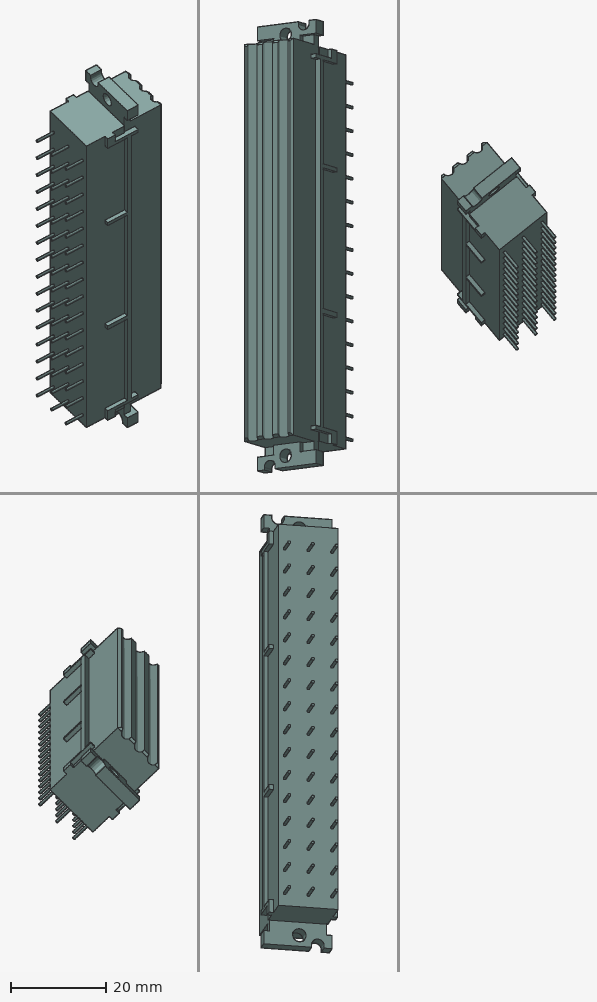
import cadquery as cq


total_height = 94.9
total_width = 14.7

front_body_width = 12.8
front_body_height = 84.3
front_body_depth = 10.0

rear_body_width = 12.3
rear_body_height = 84.8
rear_body_depth = 10.2
rear_edge_chamfer = 0.6
groove_radius = 1.2
groove_pitch = 3.9
groove_count = 3

flange_thickness = 2.8
ear_height = 2.9
neck_thickness = 1.7
boss_width = 6.6
screw_hole_diameter = 2.8
screw_hole_x = 0.3
screw_hole_z = 45.0
key_notch_diameter = 2.7
key_notch_x = 4.3
key_notch_depth = 1.9

rail_depth = 1.1
rib_reach = 5.1
middle_ribs = ((16.6, 0.9), (-14.4, 1.0))
end_rib_inner_z = 39.3
end_rib_thickness = 0.9
hook_depth = 2.0

pin_diameter = 0.6
pin_length = 4.4
pin_columns = 3
pin_rows = 16
pin_rows_span = 76.2
pin_pitch = pin_rows_span / (pin_rows - 1)
top_pin_z = 36.8

ENDS = (1, -1)


def block(x_range, y_range, z_range):
    """Box between the two limits given for each axis."""
    limits = [sorted(r) for r in (x_range, y_range, z_range)]
    size = [high - low for low, high in limits]
    corner = [low for low, high in limits]
    return cq.Workplane("XY").box(*size, centered=False).translate(tuple(corner))


def centered_block(width, y_range, z_range):
    return block((-width / 2, width / 2), y_range, z_range)


def cylinder_along_y(diameter, x, z, y_start, length):
    """Cylinder that runs from y_start toward +Y."""
    solid = cq.Solid.makeCylinder(diameter / 2, length, cq.Vector(x, y_start, z), cq.Vector(0, 1, 0))
    return cq.Workplane(obj=solid)


def make_front_body():
    half_height = front_body_height / 2
    return centered_block(front_body_width, (-front_body_depth, 0), (-half_height, half_height))


def make_rear_body():
    half_height = rear_body_height / 2
    body = centered_block(rear_body_width, (0, rear_body_depth), (-half_height, half_height))
    body = body.faces(">Y").edges().chamfer(rear_edge_chamfer)
    for i in range(groove_count):
        x = (i - (groove_count - 1) / 2) * groove_pitch
        groove = (
            cq.Workplane("XY", origin=(x, rear_body_depth, -half_height))
            .circle(groove_radius)
            .extrude(rear_body_height)
        )
        body = body.cut(groove)
    return body


def make_flange_end(end):
    """Neck, ear, screw hole and key notch at one end; the notch changes side between the ends."""
    tip_z = end * total_height / 2
    ear_z = tip_z - end * ear_height
    root_z = end * front_body_height / 2
    ear = centered_block(total_width, (0, flange_thickness), (ear_z, tip_z))
    neck = centered_block(rear_body_width, (0, neck_thickness), (root_z, ear_z))
    boss = centered_block(boss_width, (0, flange_thickness), (root_z, ear_z))
    flange = ear.union(neck).union(boss)

    hole = cylinder_along_y(screw_hole_diameter, screw_hole_x, end * screw_hole_z, 0, flange_thickness)

    notch_x = -end * key_notch_x
    notch_radius = key_notch_diameter / 2
    notch_center_z = tip_z - end * (key_notch_depth - notch_radius)
    notch = cylinder_along_y(key_notch_diameter, notch_x, notch_center_z, 0, flange_thickness).union(
        block(
            (notch_x - notch_radius, notch_x + notch_radius),
            (0, flange_thickness),
            (notch_center_z, tip_z),
        )
    )
    return flange.cut(hole).cut(notch)


def make_edging():
    """Long rails with the middle ribs, end ribs and hooks, spanning the full width of the part."""
    edging = centered_block(total_width, (0, rail_depth), (-end_rib_inner_z, end_rib_inner_z))
    for center_z, thickness in middle_ribs:
        rib_z = (center_z - thickness / 2, center_z + thickness / 2)
        edging = edging.union(centered_block(total_width, (-rib_reach, 0), rib_z))
    for end in ENDS:
        inner_z = end * end_rib_inner_z
        outer_z = inner_z + end * end_rib_thickness
        hook_tip_z = end * front_body_height / 2
        rib = centered_block(total_width, (-rib_reach, flange_thickness), (inner_z, outer_z))
        hook = centered_block(total_width, (-rib_reach, hook_depth - rib_reach), (inner_z, hook_tip_z))
        edging = edging.union(rib).union(hook)
    return edging


def add_pins(body):
    for column in range(pin_columns):
        x = (column - (pin_columns - 1) / 2) * pin_pitch
        for row in range(pin_rows):
            z = top_pin_z - row * pin_pitch
            tip_y = -front_body_depth - pin_length
            body = body.union(cylinder_along_y(pin_diameter, x, z, tip_y, pin_length))
    return body


result = make_front_body().union(make_rear_body()).union(make_edging())
for flange_end in ENDS:
    result = result.union(make_flange_end(flange_end))
result = add_pins(result)